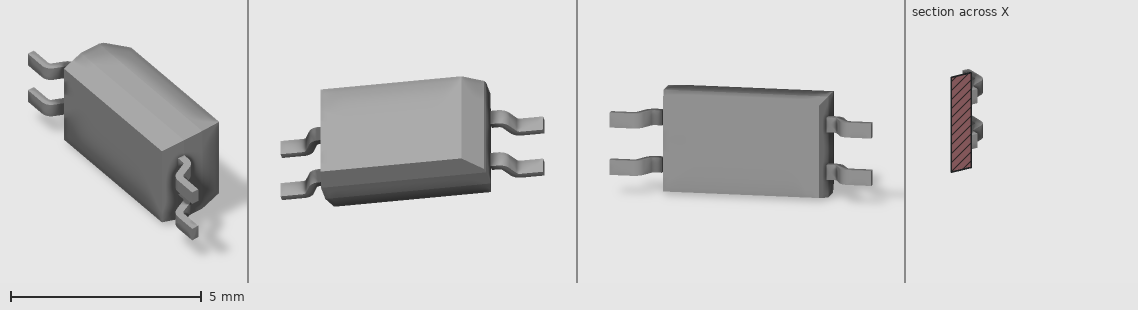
import cadquery as cq
import math

overall_length = 7.0
body_length = 4.4
body_width = 2.7
band_height = 0.6
taper_height = 0.65
draft_angle = 10.0
standoff = 0.1
chamfer_size = 0.51

lead_thickness = 0.2
lead_width = 0.4
lead_pitch = 1.27
foot_length = 0.6
inner_bend_radius = 0.1
bend_angle = 65.0

draft_inset = taper_height * math.tan(math.radians(draft_angle))
band_bottom = standoff + taper_height
band_top = band_bottom + band_height
body_top = band_top + taper_height

outer_bend_radius = inner_bend_radius + lead_thickness
bend_sine = math.sin(math.radians(bend_angle))
bend_cosine = math.cos(math.radians(bend_angle))
lead_rise = band_bottom - lead_thickness
bends_rise = (inner_bend_radius + outer_bend_radius) * (1 - bend_cosine)
slope_length = (lead_rise - bends_rise) / bend_sine


def drafted_profile(plane, width, depth):
    """Prism with a straight band and drafted sides, centred on its plane."""
    half = width / 2
    half_end = half - draft_inset
    return (
        cq.Workplane(plane)
        .polyline([
            (-half_end, standoff),
            (half_end, standoff),
            (half, band_bottom),
            (half, band_top),
            (half_end, body_top),
            (-half_end, body_top),
            (-half, band_top),
            (-half, band_bottom),
        ])
        .close()
        .extrude(depth / 2, both=True)
    )


def make_body():
    """Housing drafted on all four sides, with a bevelled marker edge."""
    lengthwise = drafted_profile("XY", body_length, body_width)
    side_plane = cq.Plane(origin=(0, 0, 0), xDir=(0, 0, 1), normal=(-1, 0, 0))
    crosswise = drafted_profile(side_plane, body_width, body_length)
    body = lengthwise.intersect(crosswise)

    bevel_bottom = body_top - chamfer_size
    bevel_inset = (bevel_bottom - band_top) * math.tan(math.radians(draft_angle))
    bevel_left = -body_length / 2 + bevel_inset
    bevel = (
        cq.Workplane("XY")
        .polyline([
            (bevel_left, bevel_bottom),
            (bevel_left + chamfer_size, body_top),
            (bevel_left, body_top),
        ])
        .close()
        .extrude(body_width / 2, both=True)
    )
    return body.cut(bevel)


def offset_point(centre, radius, angle):
    """Point on a circle at an angle in degrees from +X."""
    radians = math.radians(angle)
    return (centre[0] + radius * math.cos(radians), centre[1] + radius * math.sin(radians))


def make_left_lead(centre_z):
    """Gull-wing lead reaching from the foot tip to the -X end of the body."""
    tip_x = -overall_length / 2
    body_end_x = -body_length / 2
    bend_run = (inner_bend_radius + outer_bend_radius) * bend_sine
    lower_centre = (tip_x + foot_length, outer_bend_radius)
    upper_centre = (
        lower_centre[0] + bend_run + slope_length * bend_cosine,
        band_bottom - outer_bend_radius,
    )
    lower_mid = -90 + bend_angle / 2
    lower_end = -90 + bend_angle
    upper_start = 90 + bend_angle
    upper_mid = 90 + bend_angle / 2

    profile = (
        cq.Workplane("XY")
        .moveTo(tip_x, 0)
        .lineTo(lower_centre[0], 0)
        .threePointArc(
            offset_point(lower_centre, outer_bend_radius, lower_mid),
            offset_point(lower_centre, outer_bend_radius, lower_end),
        )
        .lineTo(*offset_point(upper_centre, inner_bend_radius, upper_start))
        .threePointArc(
            offset_point(upper_centre, inner_bend_radius, upper_mid),
            offset_point(upper_centre, inner_bend_radius, 90),
        )
        .lineTo(body_end_x, band_bottom - lead_thickness)
        .lineTo(body_end_x, band_bottom)
        .lineTo(upper_centre[0], band_bottom)
        .threePointArc(
            offset_point(upper_centre, outer_bend_radius, upper_mid),
            offset_point(upper_centre, outer_bend_radius, upper_start),
        )
        .lineTo(*offset_point(lower_centre, inner_bend_radius, lower_end))
        .threePointArc(
            offset_point(lower_centre, inner_bend_radius, lower_mid),
            offset_point(lower_centre, inner_bend_radius, -90),
        )
        .lineTo(tip_x, lead_thickness)
        .close()
    )
    return profile.extrude(lead_width / 2, both=True).translate((0, 0, centre_z))


body = make_body()

leads = []
for centre_z in (-lead_pitch / 2, lead_pitch / 2):
    left_lead = make_left_lead(centre_z)
    right_lead = left_lead.mirror("YZ")
    leads.append(left_lead.val())
    leads.append(right_lead.val())

result = cq.Compound.makeCompound([body.val(), *leads])